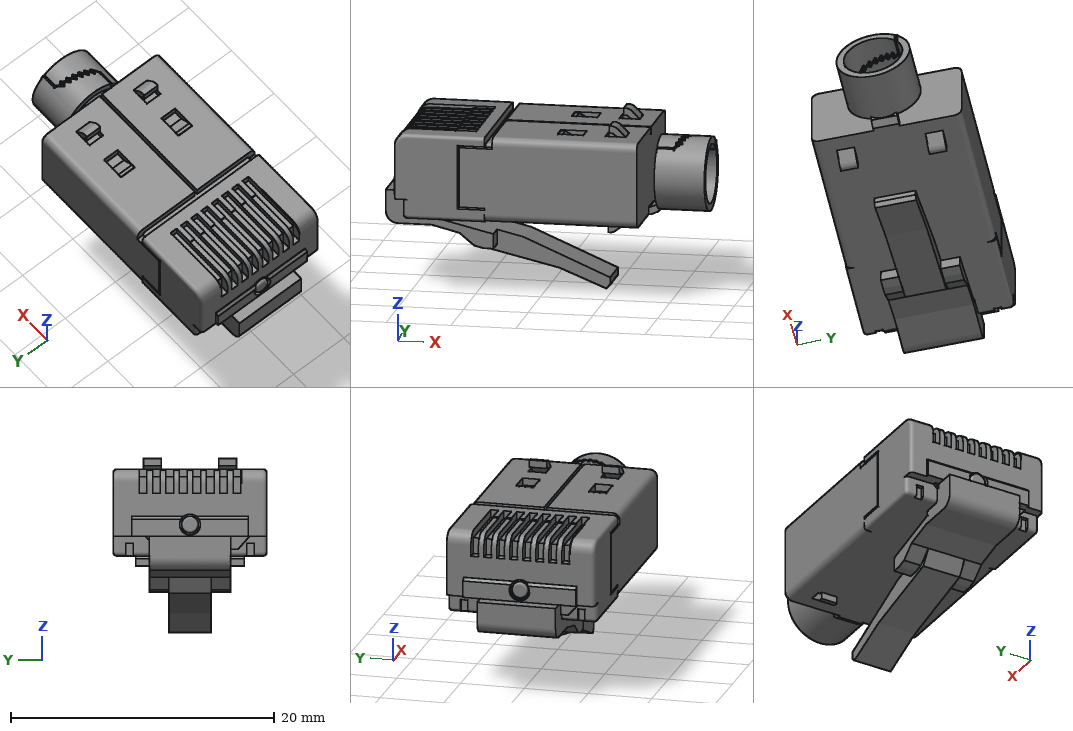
import cadquery as cq
import math


width = 11.67
height = 6.6
front_x = 1.15
lower_front_x = 1.87
step_z = 1.5
shell_x = 8.15
body_end_x = 19.92
front_round = 0.95
front_edge_round = 0.3
shell_round = 0.62

sheet = 0.57
seam_gap = 0.22
core_width = width - 2 * sheet
core_top = height - sheet
core_round = 0.22
groove_end_x = 8.75
side_tab_x = 6.05
side_tab_bottom = 0.95
side_tab_top = 5.75
side_gap = 0.15

slot_count = 8
slot_span = 7.15
slot_pitch = slot_span / (slot_count - 1)
slot_width = 0.6
slot_end_x = 7.15
slot_depth = 0.6
slot_wall_x = 1.87
slot_mouth_depth = 1.85
rib_drop = 0.1
rib_drop_end_x = 5.56
rib_band_min_y = -3.91
rib_band_max_y = 3.87

ledge_width = 8.86
ledge_x = 0.9
ledge_top = 3.03
ledge_chamfer = 0.22
boss_z = 2.4
boss_radius = 0.65
boss_round = 0.2
recess_radius = 0.8
recess_depth = 0.3
joint_x = 1.62
joint_bottom = 0.52
joint_top_y = (-4.53, 3.4)
joint_bottom_y = (-3.65, 2.45)
notch_y = 4.6
notch_width = 0.57
notch_height = 0.98
notch_depth = 0.3

hub_width = 6.15
lever_width = 3.2
hub_round = 0.94
arm_bottom = -1.08
arm_bend_x = 3.57
arm_end = (5.7, -1.62)
slot_root_x = 3.35
slot_root_z = -0.4
lever_top_bend = (10.37, -2.07)
lever_heel = (6.48, -2.8)
lever_bottom_bend = (13.15, -4.35)
tip_x = 17.05
tip_top = -4.92
tip_bottom = -5.8
tip_chamfer = 0.3
wing_end_x = 8.32
wing_bottom = -2.73
wing_curve_middle = (6.85, -2.55)
wing_curve_end = (7.55, wing_bottom)

spring_width = 1.35
top_spring_y = 2.85
bottom_spring_y = 3.45
spring_tip_x = 17.38
front_window_x = 13.37
front_window_end_x = 15.36
window_sill = 0.32
sill_depth = 0.07
flap_end_x = 14.62
rear_window_x = 17.05
top_spring_rise = 0.81
bottom_spring_rise = 0.76
spring_flat = 0.25
spring_bend_x = 18.02
spring_bend_drop = 0.2
top_foot_x = 18.64
bottom_foot_x = 18.79
top_root_x = 17.97
bottom_root_x = 17.87

ferrule_x = 20.7
ferrule_end_x = 24.57
total_length = 24.62
ferrule_radius = 2.85
ferrule_z = 3.15
strap_width = 2.02
strap_bend_x = 20.11
strap_rise = 0.27
strap_bend_shift = 0.12
seam_y = 1.72
seam_lower_x = 22.0
seam_upper_x = 23.3
seam_width = 0.12
tooth_count = 7
lip_width = 0.15

OVERLAP = 0.25


def block(x0, x1, y0, y1, z0, z1):
    """Axis-aligned box given by its limits."""
    return cq.Workplane("XY").box(x1 - x0, y1 - y0, z1 - z0, centered=False).translate((x0, y0, z0))


def centred_block(x0, x1, size_y, z0, z1, y=0):
    return block(x0, x1, y - size_y / 2, y + size_y / 2, z0, z1)


def prism(sketch, size_y, y=0):
    """Extrude a closed XZ outline symmetrically about the plane at y."""
    return sketch.extrude(size_y / 2, both=True).translate((0, y, 0))


def outline(*points):
    return cq.Workplane("XZ").polyline(points).close()


def make_body():
    upper = centred_block(front_x, shell_x, width, step_z, height)
    upper = upper.edges("<X and >Z").fillet(front_round)
    upper = upper.faces("<Y or >Y").edges("not (>X or <Z)").fillet(front_edge_round)

    lower = centred_block(lower_front_x, shell_x, width, 0, step_z)
    lower = lower.edges("|Z and <X").fillet(front_edge_round)
    lower = lower.faces("<Z").edges("not >X").fillet(front_edge_round)

    shell = centred_block(shell_x, body_end_x, width, 0, height).edges("|X").fillet(shell_round)
    return upper.union(lower).union(shell)


def cut_shell_gaps(body):
    """Groove in front of the shell, its centre seam, and the gaps around its side tabs."""
    body = body.cut(centred_block(shell_x, groove_end_x, width, side_tab_top, height))
    core = centred_block(shell_x - OVERLAP, groove_end_x + OVERLAP, core_width, height / 2, core_top)
    core = core.edges("|X and >Z").fillet(core_round)
    body = body.union(core)
    body = body.cut(centred_block(groove_end_x, body_end_x, seam_gap, core_top, height))

    gap_outer = centred_block(side_tab_x, shell_x, width, side_tab_bottom, side_tab_top + side_gap)
    tab = centred_block(side_tab_x + side_gap, shell_x, width, side_tab_bottom + side_gap, side_tab_top)
    inside = centred_block(side_tab_x, shell_x, core_width, 0, height)
    return body.cut(gap_outer.cut(tab).cut(inside))


def cut_contact_slots(body):
    rib_top = height - rib_drop
    diagonal = front_round * (1 - math.sqrt(0.5))
    above_ribs = (
        cq.Workplane("XZ")
        .moveTo(front_x, rib_top - front_round)
        .threePointArc((front_x + diagonal, rib_top - diagonal), (front_x + front_round, rib_top))
        .lineTo(rib_drop_end_x, rib_top)
        .lineTo(rib_drop_end_x, height + OVERLAP)
        .lineTo(front_x, height + OVERLAP)
        .close()
    )
    band_width = rib_band_max_y - rib_band_min_y
    body = body.cut(prism(above_ribs, band_width, (rib_band_max_y + rib_band_min_y) / 2))

    for i in range(slot_count):
        y = (i - (slot_count - 1) / 2) * slot_pitch
        body = body.cut(centred_block(front_x, slot_end_x, slot_width, height - slot_depth, height, y))
        body = body.cut(centred_block(front_x, slot_wall_x, slot_width, height - slot_mouth_depth, height, y))
    return body


def add_front_details(body):
    """Ledge with a round boss in a recess, joint block under it, and two notches at the bottom edge."""
    ledge = centred_block(ledge_x, front_x + OVERLAP, ledge_width, step_z, ledge_top)
    body = body.union(ledge.edges("<X and >Z").chamfer(ledge_chamfer))

    front_plane = cq.Workplane("YZ", origin=(ledge_x, 0, boss_z))
    body = body.cut(front_plane.circle(recess_radius).extrude(recess_depth))
    boss = front_plane.circle(boss_radius).extrude(recess_depth + OVERLAP)
    body = body.union(boss.faces("<X").edges().fillet(boss_round))

    joint = (
        cq.Workplane("YZ", origin=(joint_x, 0, 0))
        .moveTo(joint_top_y[0], step_z)
        .lineTo(joint_top_y[1], step_z)
        .lineTo(joint_bottom_y[1], joint_bottom)
        .lineTo(joint_bottom_y[0], joint_bottom)
        .close()
        .extrude(lower_front_x - joint_x + OVERLAP)
    )
    body = body.union(joint)

    for side in (-1, 1):
        notch_end_x = lower_front_x + notch_depth
        body = body.cut(
            centred_block(lower_front_x, notch_end_x, notch_width, 0, notch_height, side * notch_y)
        )
    return body


def make_latch():
    top_slope = (lever_top_bend[1] - slot_root_z) / (lever_top_bend[0] - slot_root_x)
    wing_top = slot_root_z + top_slope * (wing_end_x - slot_root_x)
    diagonal = hub_round * (1 - math.sqrt(0.5))
    hub = (
        cq.Workplane("XZ")
        .moveTo(0, step_z)
        .lineTo(lower_front_x + OVERLAP, step_z)
        .lineTo(lower_front_x + OVERLAP, OVERLAP)
        .lineTo(slot_root_x, OVERLAP)
        .lineTo(slot_root_x, slot_root_z)
        .lineTo(wing_end_x, wing_top)
        .lineTo(wing_end_x, wing_bottom)
        .lineTo(*wing_curve_end)
        .lineTo(*wing_curve_middle)
        .lineTo(*arm_end)
        .lineTo(arm_bend_x, arm_bottom)
        .lineTo(hub_round, arm_bottom)
        .threePointArc((diagonal, arm_bottom + diagonal), (0, arm_bottom + hub_round))
        .close()
    )
    wide = prism(hub, hub_width)

    lever = outline(
        (slot_root_x, slot_root_z),
        lever_top_bend,
        (tip_x, tip_top),
        (tip_x, tip_bottom + tip_chamfer),
        (tip_x - tip_chamfer, tip_bottom),
        lever_bottom_bend,
        lever_heel,
        arm_end,
        (arm_bend_x, arm_bottom),
    )
    return wide.union(prism(lever, lever_width))


def spring_tab(rise, foot_x, root_x):
    """Tab bent out of a sheet whose outer face is Z = 0; it rises towards its flat tip."""
    flat_x = spring_tip_x + spring_flat
    inner_z = rise - sheet
    bend_middle = ((flat_x + spring_bend_x) / 2, rise - spring_bend_drop / 3)
    slope = (rise - spring_bend_drop) / (foot_x - spring_bend_x)
    tab = (
        cq.Workplane("XZ")
        .moveTo(spring_tip_x, inner_z)
        .lineTo(spring_tip_x, rise)
        .lineTo(flat_x, rise)
        .threePointArc(bend_middle, (spring_bend_x, rise - spring_bend_drop))
        .lineTo(foot_x, 0)
        .lineTo(foot_x + sheet / slope, -sheet)
        .lineTo(root_x + sheet / slope, -sheet)
        .lineTo(root_x, 0)
        .lineTo(flat_x, inner_z)
        .close()
    )
    return prism(tab, spring_width)


def add_springs(body):
    """Two rows of windows on top, with flaps pressed in and tabs bent out, and two tabs underneath."""
    top_tab = spring_tab(top_spring_rise, top_foot_x, top_root_x).translate((0, 0, height))
    bottom_tab = spring_tab(bottom_spring_rise, bottom_foot_x, bottom_root_x).mirror("XY")
    flap_window = outline(
        (front_window_x, height),
        (front_window_x, height - sill_depth),
        (front_window_x + window_sill, height - sill_depth),
        (flap_end_x, core_top),
        (front_window_end_x, core_top),
        (front_window_end_x, height),
    )
    flap_cutter = prism(flap_window, spring_width)
    tab_window = centred_block(rear_window_x, top_foot_x, spring_width, core_top, height)
    for side in (-1, 1):
        place = (0, side * top_spring_y, 0)
        body = body.cut(flap_cutter.translate(place))
        body = body.cut(tab_window.translate(place)).union(top_tab.translate(place))
        body = body.union(bottom_tab.translate((0, side * bottom_spring_y, 0)))
    return body


def seam_segment(start, end):
    """Vertical cutter through the top of the ferrule along one straight piece of its seam."""
    dx = end[0] - start[0]
    dy = end[1] - start[1]
    cutter = cq.Workplane("XY").box(math.hypot(dx, dy) + seam_width, seam_width, ferrule_radius + OVERLAP,
                                    centered=(True, True, False))
    cutter = cutter.rotate((0, 0, 0), (0, 0, 1), math.degrees(math.atan2(dy, dx)))
    return cutter.translate(((start[0] + end[0]) / 2, (start[1] + end[1]) / 2, ferrule_z))


def seam_path():
    """Straight run, saw teeth climbing at 45 degrees with a step back after each, straight run."""
    rise = 2 * seam_y / tooth_count
    step_back = (tooth_count * rise - (seam_upper_x - seam_lower_x)) / (tooth_count - 1)
    points = [(ferrule_x - OVERLAP, -seam_y)]
    for i in range(tooth_count):
        x = seam_lower_x + i * (rise - step_back)
        y = -seam_y + i * rise
        points += [(x, y), (x + rise, y + rise)]
    points.append((total_length + OVERLAP, seam_y))
    return points


def make_ferrule():
    inner_radius = ferrule_radius - sheet
    start = cq.Workplane("YZ", origin=(ferrule_x, 0, ferrule_z))
    tube = start.circle(ferrule_radius).circle(inner_radius).extrude(total_length - ferrule_x)
    points = seam_path()
    for begin, end in zip(points, points[1:]):
        tube = tube.cut(seam_segment(begin, end))

    lip_y = seam_y + seam_width / 2
    ferrule_top = ferrule_z + ferrule_radius
    end_slab = centred_block(ferrule_end_x, total_length, 2 * ferrule_radius, 0, ferrule_top)
    lip = block(ferrule_end_x, total_length, lip_y, lip_y + lip_width, ferrule_z, ferrule_top)
    tube = tube.cut(end_slab.cut(lip))

    strap_end_x = ferrule_x + OVERLAP
    strap = outline(
        (body_end_x - OVERLAP, 0),
        (strap_bend_x, 0),
        (ferrule_x, strap_rise),
        (strap_end_x, ferrule_z - ferrule_radius + sheet / 2),
        (ferrule_x, strap_rise + sheet),
        (strap_bend_x - strap_bend_shift, sheet),
        (body_end_x - OVERLAP, sheet),
    )
    return tube.union(prism(strap, strap_width))


result = make_body()
result = cut_shell_gaps(result)
result = cut_contact_slots(result)
result = add_front_details(result)
result = result.union(make_latch())
result = add_springs(result)
result = result.union(make_ferrule())